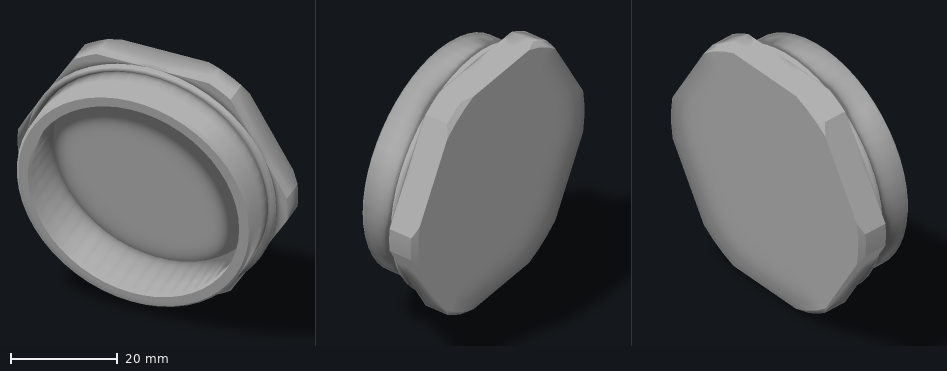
import cadquery as cq

across_flats = 49.95
corner_diameter = 54.95
head_thickness = 6.0
head_chamfer = 1.0
corner_angle = 30

spigot_diameter = 48.0
spigot_length = 9.0
spigot_chamfer = 0.5
bore_diameter = 43.0
bore_depth = 12.0

ring_outer_diameter = 50.8
ring_section_diameter = 1.5
ring_section_radius = ring_section_diameter / 2
ring_center_radius = ring_outer_diameter / 2 - ring_section_radius


def disc(diameter, start, length):
    """Cylinder about the Y axis, running from Y = start toward +Y."""
    plane = cq.Plane(origin=(0, start, 0), xDir=(1, 0, 0), normal=(0, 1, 0))
    return cq.Workplane(plane).circle(diameter / 2).extrude(length)


def make_head():
    """Hexagon with rounded corners, bevelled around its outer face at +Y."""
    hexagon = (
        cq.Workplane("XZ")
        .polygon(6, across_flats, circumscribed=True)
        .extrude(-head_thickness)
        .rotate((0, 0, 0), (0, 1, 0), corner_angle)
    )
    corner_limit = disc(corner_diameter, 0, head_thickness).faces(">Y").chamfer(head_chamfer)
    return hexagon.intersect(corner_limit)


def make_spigot():
    """Solid round spigot with a bevelled free end at -Y."""
    return disc(spigot_diameter, -spigot_length, spigot_length).faces("<Y").chamfer(spigot_chamfer)


def make_ring():
    """Round-section ring that slightly overlaps the spigot wall."""
    return (
        cq.Workplane("XY")
        .center(ring_center_radius, -ring_section_radius)
        .circle(ring_section_radius)
        .revolve(360, (-ring_center_radius, 0), (-ring_center_radius, 1))
    )


bore = disc(bore_diameter, -spigot_length, bore_depth)
result = make_head().union(make_spigot()).union(make_ring()).cut(bore)